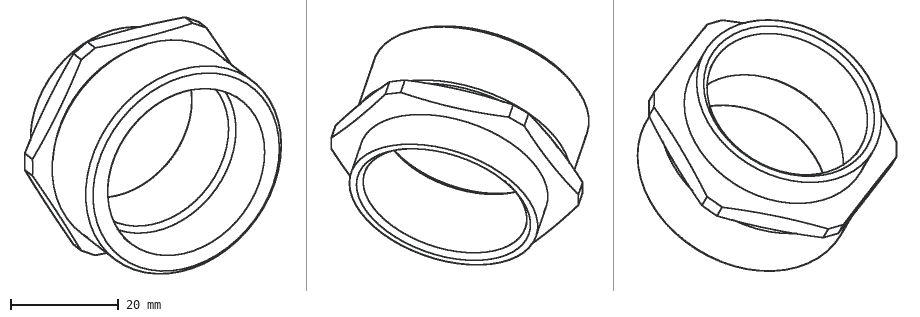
import cadquery as cq
import math

collar_length = 7.0
nut_width = 4.5
groove_width = 1.5
total_length = 26.5

collar_diameter = 36.3
groove_diameter = 39.85
thread_diameter = 41.85
thread_chamfer = 1.0

across_flats = 43.0
across_corners = 47.65
bevel_start_diameter = 41.95
bevel_angle = 15.0

throat_diameter = 31.55
wide_bore_diameter = 33.55
throat_end = 14.75

nut_end = collar_length + nut_width
groove_end = nut_end + groove_width
bore_taper = (wide_bore_diameter - throat_diameter) / 2


def cylinder(start, end, diameter):
    """Round bar on the X axis between two stations."""
    return cq.Workplane("YZ").workplane(offset=start).circle(diameter / 2).extrude(end - start)


def hexagon_prism(flat_to_flat, rotation):
    """Hexagonal bar over the nut's width, turned about X from the position with two flats facing Z."""
    point_to_point = flat_to_flat / math.cos(math.pi / 6)
    prism = cq.Workplane("YZ").workplane(offset=collar_length).polygon(6, point_to_point).extrude(nut_width)
    return prism.rotate((0, 0, 0), (1, 0, 0), rotation)


def turned(profile):
    """Solid of revolution about X from a closed list of (station, radius) points."""
    return cq.Workplane("XY").polyline(profile).close().revolve(360, (0, 0, 0), (1, 0, 0))


def bevelled_nut():
    """Hexagon with its six corners cut flat and both faces bevelled."""
    face_radius = bevel_start_diameter / 2
    half_width = nut_width / 2
    peak_radius = face_radius + half_width / math.tan(math.radians(bevel_angle))
    double_cone = turned([
        (collar_length, 0),
        (collar_length, face_radius),
        (collar_length + half_width, peak_radius),
        (nut_end, face_radius),
        (nut_end, 0),
    ])
    flat_cornered = hexagon_prism(across_flats, 0).intersect(hexagon_prism(across_corners, 30))
    return flat_cornered.intersect(double_cone)


def bore():
    """Through passage: countersunk collar mouth, throat, taper and wider bore to the threaded end."""
    throat_radius = throat_diameter / 2
    wide_radius = wide_bore_diameter / 2
    return turned([
        (0, 0),
        (0, wide_radius),
        (bore_taper, throat_radius),
        (throat_end, throat_radius),
        (throat_end + bore_taper, wide_radius),
        (total_length, wide_radius),
        (total_length, 0),
    ])


collar = cylinder(0, collar_length, collar_diameter)
groove = cylinder(nut_end, groove_end, groove_diameter)
thread = cylinder(groove_end, total_length, thread_diameter).faces(">X").chamfer(thread_chamfer)

result = collar.union(bevelled_nut()).union(groove).union(thread).cut(bore())